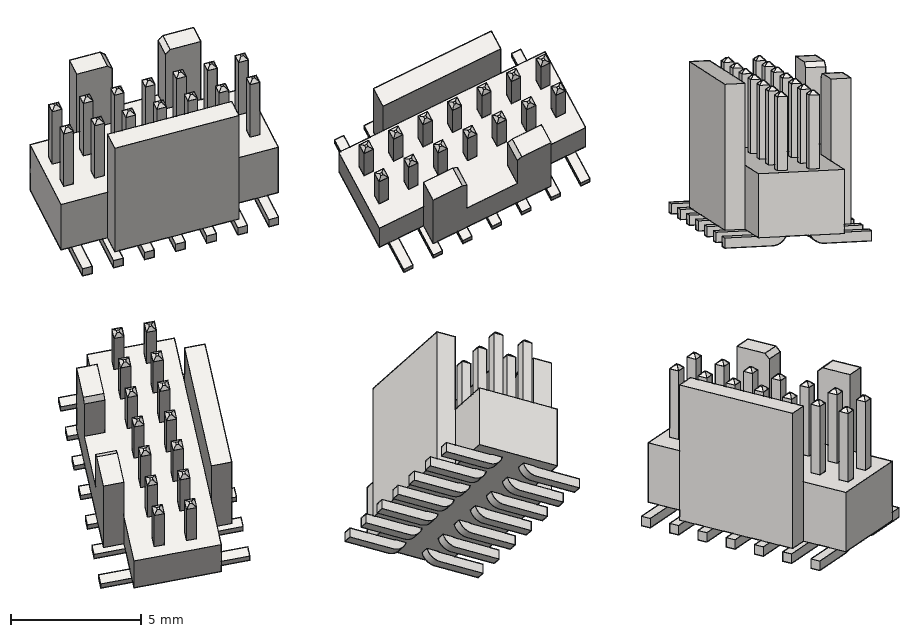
import cadquery as cq
import math


pins_per_row = 7
body_length = 8.89
pitch = body_length / pins_per_row
row_x = pitch / 2

pin_size = 0.4
pin_tip_height = 5.96
pin_taper = 0.15
lead_span = 5.84
bend_inner_radius = 0.2
bend_outer_radius = bend_inner_radius + pin_size

lead_clearance = 0.03
body_bottom = pin_size + lead_clearance
body_top = 2.925
body_width = 3.42

wall_span = 5.03
wall_pitches = 4
wall_length = wall_pitches * pitch
wall_top = 6.12
wall_thickness = (wall_span - body_width) / 2

slot_width = 2.17
slot_chamfer = 0.2


def make_block():
    height = body_top - body_bottom
    return (
        cq.Workplane("XY", origin=(0, 0, body_bottom))
        .rect(body_width, body_length)
        .extrude(height)
    )


def make_wall(side):
    """Guide wall on the +X (side = 1) or -X (side = -1) face of the block."""
    center_x = side * (wall_span - wall_thickness) / 2
    return (
        cq.Workplane("XY", origin=(center_x, 0, body_bottom))
        .rect(wall_thickness, wall_length)
        .extrude(wall_top - body_bottom)
    )


def make_key_slot():
    """Cutter for the open-topped slot, widened by a chamfer at its mouth."""
    half = slot_width / 2
    mouth = half + slot_chamfer
    return (
        cq.Workplane("YZ", origin=(-wall_span / 2, 0, 0))
        .moveTo(-half, body_top)
        .lineTo(half, body_top)
        .lineTo(half, wall_top - slot_chamfer)
        .lineTo(mouth, wall_top)
        .lineTo(-mouth, wall_top)
        .lineTo(-half, wall_top - slot_chamfer)
        .close()
        .extrude(wall_thickness)
    )


def make_pin():
    """Pin of the -X row at Y = 0, bent outward at its foot into a flat lead."""
    outer_x = -row_x - pin_size / 2
    inner_x = -row_x + pin_size / 2
    lead_end_x = -lead_span / 2
    bend_x = outer_x - bend_inner_radius
    bend_z = bend_outer_radius
    diagonal = math.sqrt(0.5)
    outer_mid = (bend_x + bend_outer_radius * diagonal, bend_z - bend_outer_radius * diagonal)
    inner_mid = (bend_x + bend_inner_radius * diagonal, bend_z - bend_inner_radius * diagonal)
    pin = (
        cq.Workplane("XZ")
        .moveTo(lead_end_x, 0)
        .lineTo(bend_x, 0)
        .threePointArc(outer_mid, (inner_x, bend_z))
        .lineTo(inner_x, pin_tip_height)
        .lineTo(outer_x, pin_tip_height)
        .lineTo(outer_x, bend_z)
        .threePointArc(inner_mid, (bend_x, pin_size))
        .lineTo(lead_end_x, pin_size)
        .close()
        .extrude(pin_size / 2, both=True)
    )
    return pin.faces(">Z").chamfer(pin_taper)


result = make_block().union(make_wall(1)).union(make_wall(-1).cut(make_key_slot()))

left_pin = make_pin()
right_pin = left_pin.mirror("YZ")
for index in range(pins_per_row):
    pin_y = (index - (pins_per_row - 1) / 2) * pitch
    for pin in (left_pin, right_pin):
        result = result.union(pin.translate((0, pin_y, 0)))